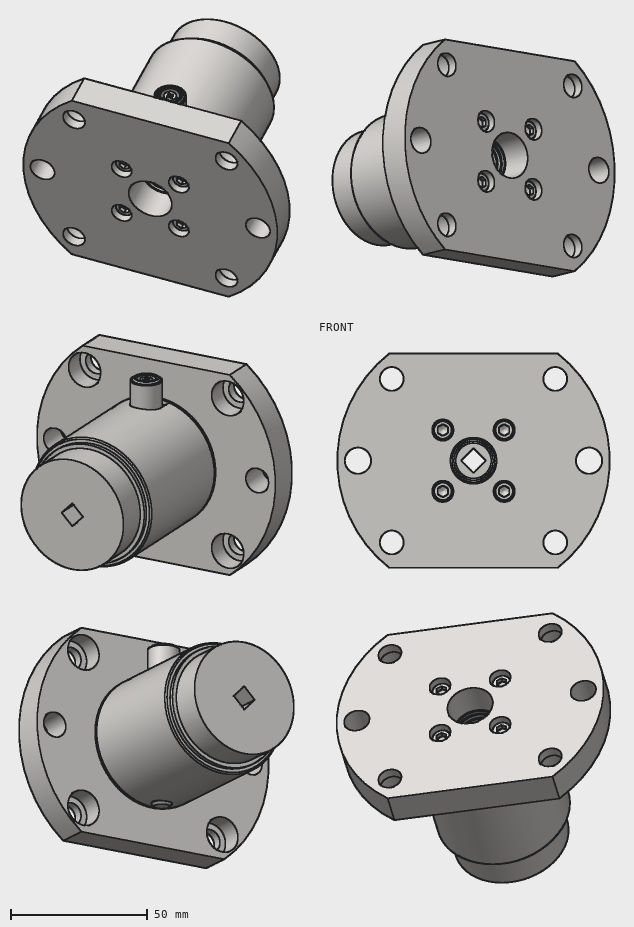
import cadquery as cq
import math

INCH = 25.4

PLATE_DIAMETER = 3.94 * INCH
PLATE_HEIGHT = 3.1 * INCH
PLATE_THICKNESS = 0.5 * INCH

CORNER_HOLE_DIAMETER = 8.64
CORNER_HOLE_OFFSET = 30.0
CORNER_HOLE_LENGTH = 0.16 * INCH
CORNER_COUNTERBORE_DIAMETER = 13.46
SIDE_HOLE_DIAMETER = 9.54
SIDE_HOLE_OFFSET = 42.4

OVERALL_LENGTH = 3.0 * INCH
SHOULDER_DIAMETER = 50.0
SHOULDER_LENGTH = 1.1
BODY_DIAMETER = 50.1
BODY_CHAMFER = 0.6
COLLAR_DIAMETER = 46.3
COLLAR_LENGTH = 1.7
SPIGOT_DIAMETER = 43.0
SPIGOT_LENGTH = 0.5 * INCH
BODY_START = PLATE_THICKNESS + SHOULDER_LENGTH
BODY_END = OVERALL_LENGTH - SPIGOT_LENGTH - COLLAR_LENGTH

BORE_STEPS = ((17.0, PLATE_THICKNESS), (15.8, 14.0), (14.4, 15.5), (13.0, 17.0))
SQUARE_SIDE = 6.35

SCREW_OFFSET = 11.25
COUNTERBORE_DIAMETER = 7.87
COUNTERBORE_DEPTH = 7.0
SCREW_HEAD_DIAMETER = 6.86
SCREW_HEAD_RECESS = 2.4
SCREW_HEAD_CHAMFER = 0.25
SOCKET_CORNER_DIAMETER = 4.17
SOCKET_DEPTH = 2.0
SOCKET_CONE_DEPTH = 1.2

CONNECTOR_Y = PLATE_THICKNESS + 7.45
CONNECTOR_DIAMETER = 11.8
CONNECTOR_TOP = 34.1
SLOT_WIDTH = 12.25
SLOT_FLOOR = 23.0
GROOVE_OUTER_DIAMETER = 11.2
RIM_DIAMETER = 10.4
GROOVE_DEPTH = 0.4
RIM_HEIGHT = 0.95
RIM_CHAMFER = 0.65
RECESS_DIAMETER = 7.87
RECESS_STEP_DEPTH = 0.4
SLEEVE_DIAMETER = 7.2
RECESS_DEPTH = 4.0
INSERT_DIAMETER = 4.6
INSERT_HEIGHT = 3.4
CONTACT_DIAMETER = 0.8
CONTACT_OFFSET = 0.65
CONTACT_DEPTH = 1.0

BUTTON_Y = PLATE_THICKNESS + 6.1
BUTTON_DIAMETER = 7.7
BUTTON_PROJECTION = 0.95
BUTTON_CHAMFER = 1.0
BUTTON_ROOT = -23.0


def y_cylinder(diameter, start, end, x=0.0, z=0.0):
    """Cylinder along Y from start to end, centred at (x, z)."""
    base = cq.Workplane("XZ", origin=(x, start, z))
    return base.circle(diameter / 2).extrude(start - end)


def z_cylinder(diameter, bottom, top, x=0.0, y=0.0):
    """Vertical cylinder from bottom to top, centred at (x, y)."""
    return cq.Workplane("XY", origin=(x, y, bottom)).circle(diameter / 2).extrude(top - bottom)


def corners(offset):
    """The four points (+-offset, +-offset)."""
    return [(sx * offset, sz * offset) for sx in (-1, 1) for sz in (-1, 1)]


def make_plate():
    """Round plate with flats at top and bottom; the corner holes are counterbored at the back."""
    band = cq.Workplane("XY").box(PLATE_DIAMETER, 2 * PLATE_THICKNESS, PLATE_HEIGHT)
    plate = y_cylinder(PLATE_DIAMETER, 0, PLATE_THICKNESS).intersect(band)
    for x, z in corners(CORNER_HOLE_OFFSET):
        plate = plate.cut(y_cylinder(CORNER_HOLE_DIAMETER, 0, PLATE_THICKNESS, x, z))
        counterbore = y_cylinder(
            CORNER_COUNTERBORE_DIAMETER, CORNER_HOLE_LENGTH, PLATE_THICKNESS, x, z
        )
        plate = plate.cut(counterbore)
    for x in (-SIDE_HOLE_OFFSET, SIDE_HOLE_OFFSET):
        plate = plate.cut(y_cylinder(SIDE_HOLE_DIAMETER, 0, PLATE_THICKNESS, x))
    return plate


def make_body():
    """Shoulder, chamfered body, collar and rear spigot, with the slot that seats the connector."""
    body = y_cylinder(BODY_DIAMETER, BODY_START, BODY_END).faces(">Y").chamfer(BODY_CHAMFER)
    slot = z_cylinder(SLOT_WIDTH, SLOT_FLOOR, BODY_DIAMETER / 2, y=CONNECTOR_Y)
    slot_run = cq.Workplane("XY", origin=(0, BODY_START, SLOT_FLOOR)).box(
        SLOT_WIDTH,
        CONNECTOR_Y - BODY_START,
        BODY_DIAMETER / 2 - SLOT_FLOOR,
        centered=(True, False, False),
    )
    body = body.cut(slot.union(slot_run))
    body = body.union(y_cylinder(SHOULDER_DIAMETER, PLATE_THICKNESS, BODY_START))
    body = body.union(y_cylinder(COLLAR_DIAMETER, BODY_END, BODY_END + COLLAR_LENGTH))
    return body.union(y_cylinder(SPIGOT_DIAMETER, BODY_END + COLLAR_LENGTH, OVERALL_LENGTH))


def cut_bore(part):
    """Cut the stepped bore and the square drive hole standing on its corner."""
    for diameter, depth in BORE_STEPS:
        part = part.cut(y_cylinder(diameter, 0, depth))
    square = cq.Workplane("XZ").polygon(4, SQUARE_SIDE * math.sqrt(2)).extrude(-OVERALL_LENGTH)
    return part.cut(square)


def make_screw(x, z):
    """Socket head of one screw, its hexagon ending in a drill-point cone."""
    head = y_cylinder(SCREW_HEAD_DIAMETER, SCREW_HEAD_RECESS, COUNTERBORE_DEPTH, x, z)
    head = head.faces("<Y").chamfer(SCREW_HEAD_CHAMFER)
    socket_floor = SCREW_HEAD_RECESS + SOCKET_DEPTH
    face = cq.Workplane("XZ", origin=(x, SCREW_HEAD_RECESS, z))
    hexagon = face.transformed(rotate=(0, 0, 90)).polygon(6, SOCKET_CORNER_DIAMETER)
    head = head.cut(hexagon.extrude(-SOCKET_DEPTH))
    cone = cq.Solid.makeCone(
        SOCKET_CORNER_DIAMETER / 2,
        0,
        SOCKET_CONE_DEPTH,
        cq.Vector(x, socket_floor, z),
        cq.Vector(0, 1, 0),
    )
    return head.cut(cq.Workplane(obj=cone))


def add_screws(part):
    """Sink four socket head screws into counterbores around the bore."""
    for x, z in corners(SCREW_OFFSET):
        part = part.cut(y_cylinder(COUNTERBORE_DIAMETER, 0, COUNTERBORE_DEPTH, x, z))
        part = part.union(make_screw(x, z))
    return part


def make_connector():
    """Round connector with a grooved, chamfered rim and a recessed four-contact insert."""
    connector = z_cylinder(CONNECTOR_DIAMETER, SLOT_FLOOR, CONNECTOR_TOP)
    groove = cq.Solid.makeCone(
        RIM_DIAMETER / 2,
        GROOVE_OUTER_DIAMETER / 2,
        GROOVE_DEPTH,
        cq.Vector(0, 0, CONNECTOR_TOP - GROOVE_DEPTH),
    )
    connector = connector.cut(cq.Workplane(obj=groove))
    rim_top = CONNECTOR_TOP + RIM_HEIGHT
    rim = z_cylinder(RIM_DIAMETER, CONNECTOR_TOP - GROOVE_DEPTH, rim_top)
    connector = connector.union(rim.faces(">Z").chamfer(RIM_CHAMFER))
    recess_floor = rim_top - RECESS_DEPTH
    insert_top = recess_floor + INSERT_HEIGHT
    connector = connector.cut(z_cylinder(RECESS_DIAMETER, rim_top - RECESS_STEP_DEPTH, rim_top))
    connector = connector.cut(z_cylinder(SLEEVE_DIAMETER, recess_floor, rim_top))
    connector = connector.union(z_cylinder(INSERT_DIAMETER, recess_floor, insert_top))
    for x, y in corners(CONTACT_OFFSET):
        connector = connector.cut(
            z_cylinder(CONTACT_DIAMETER, insert_top - CONTACT_DEPTH, insert_top, x, y)
        )
    return connector.translate((0, CONNECTOR_Y, 0))


def make_button():
    """Button under the body, with a 45 degree chamfer around its lower face."""
    bottom = -BODY_DIAMETER / 2 - BUTTON_PROJECTION
    button = z_cylinder(BUTTON_DIAMETER, bottom, BUTTON_ROOT, y=BUTTON_Y)
    return button.faces("<Z").chamfer(BUTTON_CHAMFER)


result = make_plate().union(make_body())
result = cut_bore(result)
result = add_screws(result)
result = result.union(make_connector()).union(make_button())